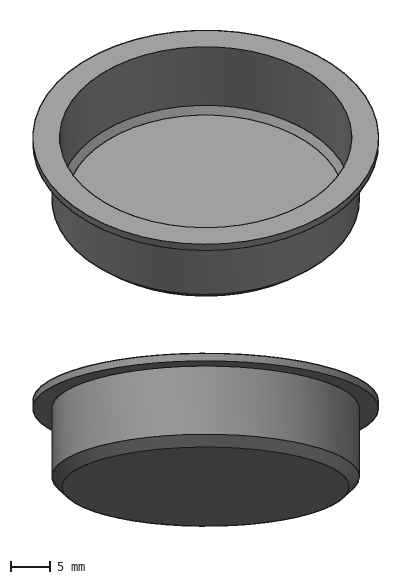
import cadquery as cq

flange_diameter = 43.8
body_diameter = 39.0
bore_diameter = 37.0
total_height = 11.3
flange_thickness = 1.0

floor_thickness = (body_diameter - bore_diameter) / 2

outer_bevel = 1.3
inner_bevel = 0.88


def beveled_disc(diameter, height, bottom, bevel):
    """Disc with its lower edge beveled, standing at height bottom."""
    disc = cq.Workplane("XY").workplane(offset=bottom).circle(diameter / 2).extrude(height)
    return disc.faces("<Z").chamfer(bevel)


body = beveled_disc(body_diameter, total_height, 0, outer_bevel)
flange = (
    cq.Workplane("XY")
    .workplane(offset=total_height - flange_thickness)
    .circle(flange_diameter / 2)
    .extrude(flange_thickness)
)

cavity_depth = total_height - floor_thickness
cavity = beveled_disc(bore_diameter, cavity_depth, floor_thickness, inner_bevel)

result = body.union(flange).cut(cavity)